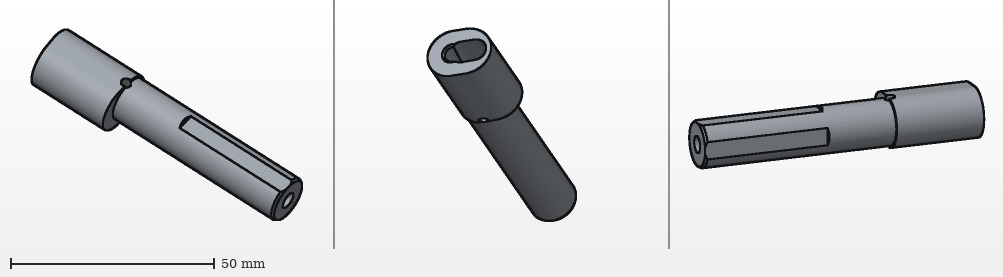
import cadquery as cq
import math

total_length = 73.0
head_length = 22.9
head_radius = 6.5
head_offset = 3.5

shank_radius = 6.0
flat_start = 40.9
flat_depth = 0.45
end_chamfer_length = 0.65
end_chamfer_height = 0.4

bore_radius = 2.1
bore_chamfer = 0.5
cross_hole_radius = 1.25
cross_hole_x = 22.4

face_slope = 3.8
slot_radius = 3.0
slot_inner_center = 2.3
slot_outer_center = 5.7
slot_depth = 10.95
pin_hole_radius = 1.6
pin_hole_depth = 9.5
drill_point_angle = 118


def make_head():
    """Oblong head, its outline reaching from the bore axis toward -Y."""
    return (
        cq.Workplane("YZ")
        .center(-head_offset / 2, 0)
        .slot2D(head_offset + 2 * head_radius, 2 * head_radius)
        .extrude(head_length)
    )


def make_shank():
    """Round shank with a chamfered far end."""
    return (
        cq.Workplane("XY")
        .lineTo(total_length, 0)
        .lineTo(total_length, shank_radius - end_chamfer_height)
        .lineTo(total_length - end_chamfer_length, shank_radius)
        .lineTo(0, shank_radius)
        .close()
        .revolve(360, (0, 0, 0), (1, 0, 0))
    )


def make_flat_cutter(plane):
    """Material outside a shank flat, with a 45 degree ramp at its start."""
    flat_height = shank_radius - flat_depth
    cutter_height = 2 * flat_depth
    return (
        cq.Workplane(plane)
        .moveTo(flat_start, flat_height)
        .lineTo(total_length, flat_height)
        .lineTo(total_length, flat_height + cutter_height)
        .lineTo(flat_start - cutter_height, flat_height + cutter_height)
        .close()
        .extrude(shank_radius, both=True)
    )


def make_face_cutter():
    """Wedge that slopes the -Y half of the front face back from the bore axis."""
    head_reach = head_offset + head_radius
    setback = head_reach * math.tan(math.radians(face_slope))
    return (
        cq.Workplane("XY")
        .lineTo(0, -head_reach)
        .lineTo(setback, -head_reach)
        .close()
        .extrude(head_radius, both=True)
    )


def make_bore():
    """Through bore along X with a chamfered mouth."""
    return (
        cq.Workplane("XY")
        .lineTo(0, bore_radius + bore_chamfer)
        .lineTo(bore_chamfer, bore_radius)
        .lineTo(total_length, bore_radius)
        .lineTo(total_length, 0)
        .close()
        .revolve(360, (0, 0, 0), (1, 0, 0))
    )


def make_slot_and_pin_hole():
    """Blind slot square to the sloped face, with a drilled pin hole in its floor."""
    slope = math.radians(face_slope)
    sloped_plane = cq.Plane(
        origin=(0, 0, 0),
        xDir=(math.sin(slope), -math.cos(slope), 0),
        normal=(math.cos(slope), math.sin(slope), 0),
    )
    center_spacing = slot_outer_center - slot_inner_center
    slot_middle = (slot_inner_center + slot_outer_center) / 2
    slot = (
        cq.Workplane(sloped_plane)
        .center(slot_middle, 0)
        .slot2D(center_spacing + 2 * slot_radius, 2 * slot_radius)
        .extrude(slot_depth)
    )
    straight_end = slot_depth + pin_hole_depth
    point_length = pin_hole_radius / math.tan(math.radians(drill_point_angle / 2))
    hole_axis_start = sloped_plane.toWorldCoords((slot_outer_center, 0, 0))
    point_start = sloped_plane.toWorldCoords((slot_outer_center, 0, straight_end))
    hole_direction = sloped_plane.zDir
    pin_hole = cq.Solid.makeCylinder(pin_hole_radius, straight_end, hole_axis_start, hole_direction)
    drill_point = cq.Solid.makeCone(pin_hole_radius, 0, point_length, point_start, hole_direction)
    return slot.union(cq.Workplane(pin_hole)).union(cq.Workplane(drill_point))


def make_cross_hole():
    """Vertical through hole at the shoulder between head and shank."""
    return (
        cq.Workplane("XY")
        .center(cross_hole_x, 0)
        .circle(cross_hole_radius)
        .extrude(head_radius, both=True)
    )


result = make_head().union(make_shank())
for flat_plane in ("XY", "XZ"):
    result = result.cut(make_flat_cutter(flat_plane))
result = result.cut(make_face_cutter())
result = result.cut(make_bore())
result = result.cut(make_slot_and_pin_hole())
result = result.cut(make_cross_hole())